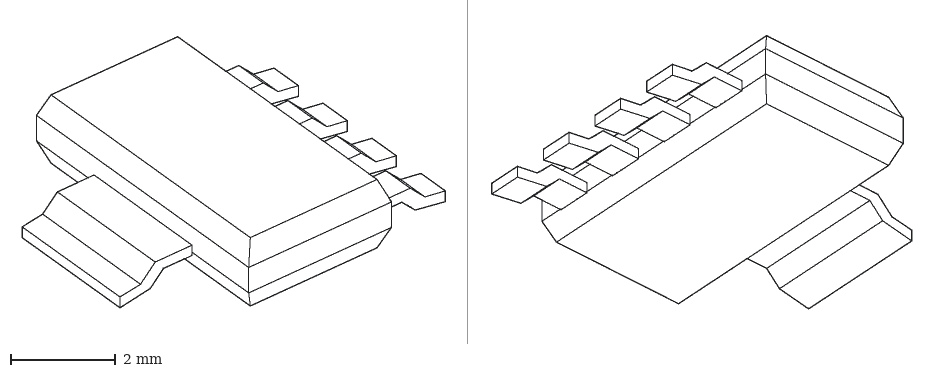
import cadquery as cq

HOUSING_LENGTH = 6.5
HOUSING_WIDTH = 3.5
HOUSING_HEIGHT = 1.6
TAPER_INSET = 0.2
BAND_BOTTOM = 0.5
BAND_TOP = HOUSING_HEIGHT - BAND_BOTTOM

LEAD_TIP = 3.535
HOUSING_GAP = 0.02
SHOULDER_TOP = 0.69
SHOULDER_THICKNESS = 0.24
UPPER_BEND_TOP = 2.67
UPPER_BEND_BOTTOM = 2.47
LOWER_BEND_TOP = 3.03
LOWER_BEND_BOTTOM = 2.79
TIP_THICKNESS = 0.255

PIN_COUNT = 4
PIN_WIDTH = 0.75
PIN_PITCH = 1.5
TAB_WIDTH = 3.0
LEAD_CENTER_X = 0.04


def make_taper(start_z, height):
    """Loft from the full housing outline to the inset outline; height may be negative."""
    return (
        cq.Workplane("XY", origin=(0, 0, start_z))
        .rect(HOUSING_LENGTH, HOUSING_WIDTH)
        .workplane(offset=height)
        .rect(HOUSING_LENGTH - 2 * TAPER_INSET, HOUSING_WIDTH - 2 * TAPER_INSET)
        .loft(ruled=True)
    )


def make_housing():
    """Middle band joined to its upper and lower tapers."""
    band = (
        cq.Workplane("XY", origin=(0, 0, BAND_BOTTOM))
        .rect(HOUSING_LENGTH, HOUSING_WIDTH)
        .extrude(BAND_TOP - BAND_BOTTOM)
    )
    upper_taper = make_taper(BAND_TOP, HOUSING_HEIGHT - BAND_TOP)
    lower_taper = make_taper(BAND_BOTTOM, -BAND_BOTTOM)
    return band.union(upper_taper).union(lower_taper)


def make_lead(width, center_x, side):
    """Bent strip leaving the housing toward +Y (side = 1) or -Y (side = -1)."""
    inner_end = HOUSING_WIDTH / 2 + HOUSING_GAP
    shoulder_bottom = SHOULDER_TOP - SHOULDER_THICKNESS
    lower_bend_top_z = SHOULDER_TOP - (LOWER_BEND_TOP - UPPER_BEND_TOP)
    lower_bend_bottom_z = shoulder_bottom - (LOWER_BEND_BOTTOM - UPPER_BEND_BOTTOM)
    profile = [
        (side * inner_end, SHOULDER_TOP),
        (side * UPPER_BEND_TOP, SHOULDER_TOP),
        (side * LOWER_BEND_TOP, lower_bend_top_z),
        (side * LEAD_TIP, TIP_THICKNESS),
        (side * LEAD_TIP, 0),
        (side * LOWER_BEND_BOTTOM, lower_bend_bottom_z),
        (side * UPPER_BEND_BOTTOM, shoulder_bottom),
        (side * inner_end, shoulder_bottom),
    ]
    return (
        cq.Workplane("YZ", origin=(center_x, 0, 0))
        .polyline(profile)
        .close()
        .extrude(width / 2, both=True)
    )


housing = make_housing()
tab = make_lead(TAB_WIDTH, LEAD_CENTER_X, side=-1)

pins = []
for index in range(PIN_COUNT):
    pin_x = LEAD_CENTER_X + (index - (PIN_COUNT - 1) / 2) * PIN_PITCH
    pins.append(make_lead(PIN_WIDTH, pin_x, side=1))

result = cq.Compound.makeCompound(
    [housing.val(), tab.val(), *[pin.val() for pin in pins]]
)